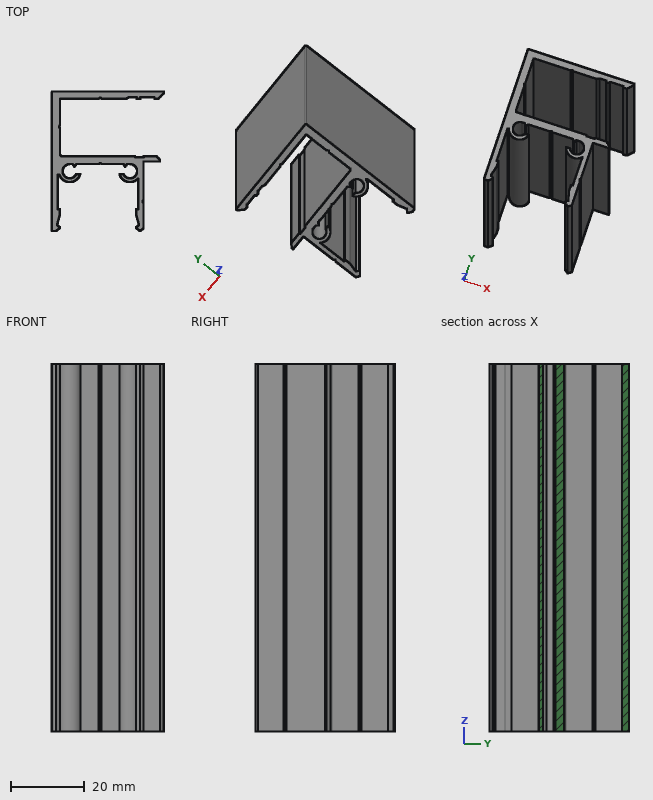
import cadquery as cq
import math

length = 100.0
width = 30.5
depth = 38.0
outer_edge_radius = 0.3

upper_wall = 2.3
lower_wall = 1.7
wall_step_y = 15.4

plate_thickness = 2.0
plate_nose = 0.5
plate_bottom_y = depth - plate_thickness
plate_bevel = plate_thickness - plate_nose

recess_depth = 0.4
recess_slope = 0.8
first_recess_start = 20.3
rib_start = 23.1
rib_end = 24.1
second_recess_end = 27.9

web_top_y = 20.4
web_thickness = 2.2
web_bottom_y = web_top_y - web_thickness
web_corner_radius = 0.5
flange_end_x = 29.5
flange_thickness = 1.5
flange_bevel = 1.0
flange_bottom_y = web_top_y - flange_thickness
leg_outer_x = 25.0
leg_thickness = 1.5
leg_inner_x = leg_outer_x - leg_thickness

notch_width = 2.3
notch_depth = 0.3

web_middle_x = 13.1
channel_offset = 8.2
bore_radius = 1.9
channel_radius = 3.0
channel_y = web_bottom_y - bore_radius
mouth_drop = 0.8
mouth_y = channel_y - mouth_drop
tooth_offset = 6.9
tooth_half_width = 0.5
tooth_height = 0.7

snap_reach = 2.2
snap_valley = 1.5
snap_foot = 1.2
snap_top_y = 6.0
snap_shoulder_y = 4.3
snap_valley_y = 1.7
bead_top_y = 1.1
bead_bottom_y = 0.8
leg_snap_tip_x = 23.0
leg_foot_chamfer_y = 0.7

groove_x = 13.2
groove_half_width = 0.4
groove_depth = 0.3
wall_groove_y = 28.4
leg_groove_y = 8.1


def prism(points):
    """Full-length prism over a closed polygon."""
    return cq.Workplane("XY").polyline(points).close().extrude(length)


def block(x0, y0, x1, y1):
    """Full-length bar between two opposite corners."""
    return prism([(x0, y0), (x1, y0), (x1, y1), (x0, y1)])


def rod(x, y, radius):
    """Full-length round bar."""
    return cq.Workplane("XY").center(x, y).circle(radius).extrude(length)


def vee(x, y, tip_x, tip_y, half_width):
    """Triangular bar with its base centred on (x, y) and its tip offset by (tip_x, tip_y)."""
    height = math.hypot(tip_x, tip_y)
    base_x = -tip_y / height * half_width
    base_y = tip_x / height * half_width
    return prism([(x + base_x, y + base_y), (x - base_x, y - base_y), (x + tip_x, y + tip_y)])


def top_plate():
    recess_y = plate_bottom_y + recess_depth
    return prism([
        (0, depth),
        (width, depth),
        (width, depth - plate_nose),
        (width - plate_bevel, plate_bottom_y),
        (second_recess_end, plate_bottom_y),
        (second_recess_end, recess_y),
        (rib_end, recess_y),
        (rib_end, plate_bottom_y),
        (rib_start, plate_bottom_y),
        (rib_start, recess_y),
        (first_recess_start + recess_slope, recess_y),
        (first_recess_start, plate_bottom_y),
        (0, plate_bottom_y),
    ])


def tall_wall():
    wall = block(0, snap_top_y, lower_wall, depth)
    return wall.union(block(0, wall_step_y, upper_wall, depth))


def web():
    flange = prism([
        (0, web_top_y),
        (flange_end_x - flange_bevel, web_top_y),
        (flange_end_x, web_top_y - flange_bevel),
        (flange_end_x, flange_bottom_y),
        (0, flange_bottom_y),
    ])
    notch = block(leg_outer_x - notch_width, web_top_y - notch_depth, leg_outer_x, web_top_y)
    return flange.union(block(0, web_bottom_y, leg_outer_x, web_top_y)).cut(notch)


def snap_foot_profile(tip_x, rear_x):
    """Foot of a leg between its rear face and the tip of its snap pad."""
    inward = math.copysign(1, tip_x - rear_x)
    valley_x = tip_x - inward * (snap_reach - snap_valley)
    foot_x = tip_x - inward * (snap_reach - snap_foot)
    rear_foot_y = leg_foot_chamfer_y if inward < 0 else 0
    return prism([
        (rear_x, snap_top_y),
        (tip_x, snap_top_y),
        (tip_x, snap_shoulder_y),
        (valley_x, snap_valley_y),
        (tip_x, bead_top_y),
        (tip_x, bead_bottom_y),
        (foot_x, 0),
        (rear_x, rear_foot_y),
    ])


def screw_channel(side):
    """Hook-shaped channel wall; side is -1 next to the tall wall and 1 next to the leg."""
    x = web_middle_x + side * channel_offset
    back_x = x + side * channel_radius
    hook = rod(x, channel_y, channel_radius)
    mouth = block(x, mouth_y, x - side * channel_radius, channel_y + channel_radius)
    backing = block(x, channel_y, back_x, web_top_y - notch_depth)
    return hook.cut(mouth).union(backing)


def channel_bore(side):
    return rod(web_middle_x + side * channel_offset, channel_y, bore_radius)


def channel_tooth(side):
    return vee(web_middle_x + side * tooth_offset, web_bottom_y, 0, -tooth_height, tooth_half_width)


def marking_grooves():
    plate_groove = vee(groove_x, plate_bottom_y, 0, groove_depth, groove_half_width)
    web_groove = vee(groove_x, web_bottom_y, 0, groove_depth, groove_half_width)
    wall_groove = vee(upper_wall, wall_groove_y, -groove_depth, 0, groove_half_width)
    leg_groove = vee(leg_outer_x, leg_groove_y, -groove_depth, 0, groove_half_width)
    return plate_groove.union(web_groove).union(wall_groove).union(leg_groove)


profile = tall_wall().union(top_plate()).union(web())
profile = profile.union(block(leg_inner_x, snap_top_y, leg_outer_x, web_bottom_y))
profile = profile.union(snap_foot_profile(snap_reach, 0))
profile = profile.union(snap_foot_profile(leg_snap_tip_x, leg_outer_x))
for side in (-1, 1):
    profile = profile.union(screw_channel(side))
for side in (-1, 1):
    profile = profile.cut(channel_bore(side)).union(channel_tooth(side))
profile = profile.cut(marking_grooves())

inner_corner = cq.selectors.NearestToPointSelector((upper_wall, web_top_y, length / 2))
profile = profile.edges(inner_corner).fillet(web_corner_radius)
result = profile.edges("|Z and <X").fillet(outer_edge_radius)